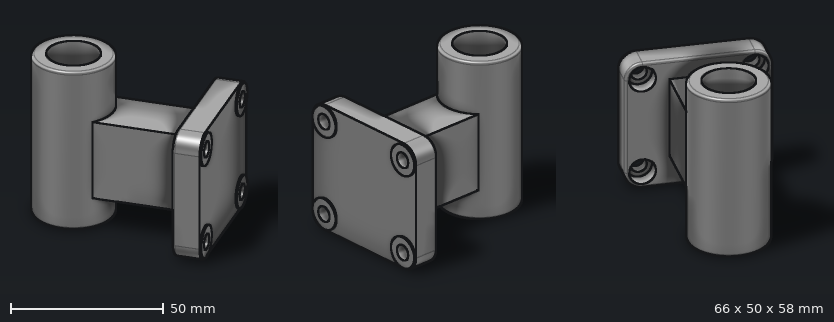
import cadquery as cq

total_length = 66
tube_diameter = 28.0
tube_height = 58.0
tube_radius = tube_diameter / 2
edge_radius = 1.0

bore_diameter = 16.0
upper_bore_diameter = 18.0
upper_bore_depth = tube_height / 2

flange_width = 50.0
flange_height = 46.0
flange_corner_radius = 6.0
pad_height = 0.5
pad_diameter = 11.2
flange_thickness = 9.5
pad_face_x = total_length - tube_radius
flange_back_x = pad_face_x - pad_height
flange_front_x = flange_back_x - flange_thickness

hole_diameter = 5.5
counterbore_diameter = 9.0
counterbore_depth = 5.5
hole_spacing_y = flange_width - 2 * flange_corner_radius
hole_spacing_z = flange_height - 2 * flange_corner_radius

arm_width = 20.0
arm_height = 28.0
arm_bottom = 11.0


def flange_plane(x):
    """Plane across the flange centre, facing +X, with local X along Y and local Y along Z."""
    return cq.Workplane("YZ", origin=(x, 0, flange_height / 2))


def corner_cylinders(start_x, diameter, length):
    """Four cylinders along +X, one at each mounting hole."""
    corners = flange_plane(start_x).rect(hole_spacing_y, hole_spacing_z, forConstruction=True)
    return corners.vertices().circle(diameter / 2).extrude(length)


def make_tube():
    tube = cq.Workplane("XY").circle(tube_radius).extrude(tube_height)
    return tube.faces("<Z or >Z").edges().fillet(edge_radius)


def make_flange():
    plate = flange_plane(flange_front_x).rect(flange_width, flange_height).extrude(flange_thickness)
    plate = plate.edges("|X").fillet(flange_corner_radius)
    plate = plate.faces("<X").edges().fillet(edge_radius)
    plate = plate.union(corner_cylinders(flange_back_x, pad_diameter, pad_height))
    plate = plate.cut(corner_cylinders(flange_front_x, hole_diameter, flange_thickness + pad_height))
    return plate.cut(corner_cylinders(flange_front_x, counterbore_diameter, counterbore_depth))


def make_arm():
    arm = cq.Workplane("XY", origin=(0, 0, arm_bottom))
    return arm.box(flange_front_x, arm_width, arm_height, centered=(False, True, False))


def make_bore():
    lower = cq.Workplane("XY").circle(bore_diameter / 2).extrude(tube_height)
    upper = cq.Workplane("XY", origin=(0, 0, tube_height))
    return lower.union(upper.circle(upper_bore_diameter / 2).extrude(-upper_bore_depth))


result = make_tube().union(make_arm()).union(make_flange()).cut(make_bore())